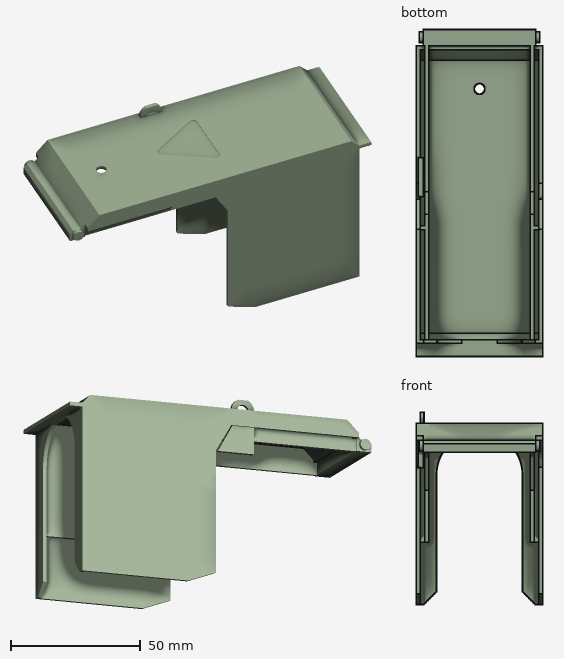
import cadquery as cq
import math

half_width = 24.37
sheet = 1.5
roof_z = 69.9
rear_y = 120.9
wall_front_y = 65.5
wall_slope_z = 52.9
wall_slope_top_y = 59.2
skirt_z = 63.4
foot_chamfer_length = 11.5
foot_chamfer_height = 4.3
rear_bevel = 3.4
front_bevel_y = 11.2
skirt_front_y = 6.3
lip_end_y = 126.0
lip_top_z = roof_z - rear_bevel

bar_inset = 2.6
bar_bottom_z = 58.6
bar_top_z = 63.4
bar_top_rear_y = 4.5
bar_chamfer = 1.4
pin_radius = 2.1
pin_y = 3.0
pin_z = 61.2
pin_inset = 1.1

opening_half_width = 16.5
opening_arch_start_z = 50.0
opening_chamfer = 5.0

rail_inset = 3.3
rail_slope_start_y = 62.5
rail_plate_front_y = 71.2
rail_slope_bottom_z = 44.1
rail_plate_bottom_z = 24.0
web_front_y = 75.6

gusset_inset = 0.8
gusset_thickness = 2.0
gusset_front_y = 49.5
gusset_rear_top_y = 58.5
gusset_rear_bottom_y = 64.4
gusset_bottom_z = 52.8

loop_y = 53.8
loop_radius = 4.7
loop_height = 4.2
loop_hole_radius = 2.3
loop_sill = 0.4
loop_inset = 1.5
hole_y = 22.9
hole_diameter = 4.0
triangle_rear_y = 68.1
triangle_side = 26.6
triangle_corner_radius = 1.5
triangle_depth = 0.3


def side_plate(points, x_start, x_end):
    """Extrude a (Y, Z) outline from x_start to x_end."""
    return cq.Workplane("YZ", origin=(x_start, 0, 0)).polyline(points).close().extrude(x_end - x_start)


def box(x_range, y_range, z_range):
    """Box given by its limits along each axis."""
    lows, highs = zip(x_range, y_range, z_range)
    size = [high - low for low, high in zip(lows, highs)]
    return cq.Workplane("XY", origin=lows).box(*size, centered=False)


def make_cover():
    front_slope = (roof_z - bar_top_z) / (front_bevel_y - bar_top_rear_y)
    skirt_nose_z = bar_top_z + front_slope * (skirt_front_y - bar_top_rear_y)
    outline = [
        (rear_y, 0),
        (wall_front_y + foot_chamfer_length, 0),
        (wall_front_y, foot_chamfer_height),
        (wall_front_y, wall_slope_z),
        (wall_slope_top_y, skirt_z),
        (skirt_front_y, skirt_z),
        (skirt_front_y, skirt_nose_z),
        (front_bevel_y, roof_z),
        (rear_y - rear_bevel, roof_z),
        (rear_y, lip_top_z),
    ]
    bevel_shift = sheet * math.tan(math.pi / 8)
    cavity_front_y = skirt_front_y + sheet
    cavity_roof_z = roof_z - sheet
    cavity_front_z = skirt_nose_z - bevel_shift
    cavity = [
        (rear_y - sheet, 0),
        (rear_y - sheet, lip_top_z - bevel_shift),
        (rear_y - rear_bevel - bevel_shift, cavity_roof_z),
        (cavity_front_y + (cavity_roof_z - cavity_front_z) / front_slope, cavity_roof_z),
        (cavity_front_y, cavity_front_z),
        (cavity_front_y, 0),
    ]
    inner_half_width = half_width - sheet
    cover = side_plate(outline, -half_width, half_width)
    cover = cover.cut(side_plate(cavity, -inner_half_width, inner_half_width))
    lip = box((-half_width, half_width), (rear_y - sheet, lip_end_y), (lip_top_z - sheet, lip_top_z))
    return cover.union(lip)


def make_rear_opening():
    """Arched opening, cut off flat under the rear lip and widening at the feet."""
    flare = opening_half_width + opening_chamfer
    opening = (
        cq.Workplane("XZ", origin=(0, rear_y, 0))
        .moveTo(-opening_half_width, 0)
        .lineTo(-opening_half_width, opening_arch_start_z)
        .threePointArc(
            (0, opening_arch_start_z + opening_half_width),
            (opening_half_width, opening_arch_start_z),
        )
        .lineTo(opening_half_width, 0)
        .close()
        .extrude(2 * sheet)
    )
    opening = opening.intersect(box(
        (-opening_half_width, opening_half_width),
        (rear_y - 2 * sheet, rear_y),
        (0, lip_top_z - sheet),
    ))
    foot = (
        cq.Workplane("XZ", origin=(0, rear_y, 0))
        .polyline([(-flare, 0), (flare, 0), (0, flare)])
        .close()
        .extrude(2 * sheet)
    )
    return opening.union(foot.intersect(
        box((-flare, flare), (rear_y - 2 * sheet, rear_y), (0, opening_chamfer))
    ))


def make_hinge_bar():
    bar_outline = [
        (skirt_front_y, bar_bottom_z),
        (0, bar_bottom_z),
        (0, bar_top_z - bar_chamfer),
        (bar_chamfer, bar_top_z),
        (bar_top_rear_y, bar_top_z),
        (front_bevel_y, roof_z),
        (front_bevel_y, roof_z - sheet),
        (skirt_front_y, skirt_z),
    ]
    bar_half = half_width - bar_inset
    pin_half = half_width - pin_inset
    pin = (
        cq.Workplane("YZ", origin=(-pin_half, 0, 0))
        .center(pin_y, pin_z)
        .circle(pin_radius)
        .extrude(2 * pin_half)
    )
    return side_plate(bar_outline, -bar_half, bar_half).union(pin)


def make_left_rail():
    x_start = -half_width + rail_inset
    inner_rear_y = rear_y - sheet / 2
    inner_roof_z = lip_top_z - sheet / 2
    roof_contact_z = roof_z - sheet / 2
    outline = [
        (skirt_front_y, bar_bottom_z),
        (rail_slope_start_y, bar_bottom_z),
        (rail_plate_front_y, rail_slope_bottom_z),
        (rail_plate_front_y, rail_plate_bottom_z),
        (inner_rear_y, rail_plate_bottom_z),
        (inner_rear_y, inner_roof_z),
        (rear_y - rear_bevel, roof_contact_z),
        (front_bevel_y, roof_contact_z),
        (skirt_front_y, skirt_z),
    ]
    web = box(
        (-half_width + sheet, x_start),
        (web_front_y, web_front_y + sheet),
        (rail_plate_bottom_z, roof_contact_z),
    )
    return side_plate(outline, x_start, x_start + sheet).union(web)


def make_gusset():
    x_start = -half_width + gusset_inset
    outline = [
        (gusset_front_y, gusset_bottom_z),
        (gusset_rear_bottom_y, gusset_bottom_z),
        (gusset_rear_top_y, skirt_z),
        (gusset_rear_top_y, roof_z - sheet),
        (gusset_front_y, roof_z - sheet),
    ]
    return side_plate(outline, x_start, x_start + gusset_thickness)


def make_loop():
    """Half ring with a flat top and a low sill across the foot of its hole."""
    x_start = -half_width + loop_inset
    x_range = (x_start, x_start + sheet)
    ring = (
        cq.Workplane("YZ", origin=(x_start, loop_y, roof_z))
        .circle(loop_radius)
        .circle(loop_hole_radius)
        .extrude(sheet)
    )
    above_roof = box(x_range, (loop_y - loop_radius, loop_y + loop_radius), (roof_z, roof_z + loop_height))
    sill = box(
        x_range, (loop_y - loop_hole_radius, loop_y + loop_hole_radius), (roof_z, roof_z + loop_sill)
    )
    return ring.intersect(above_roof).union(sill)


def make_triangle_recess():
    """Shallow rounded equilateral triangle pointing to the front."""
    height = triangle_side * math.sqrt(3) / 2
    return (
        cq.Workplane("XY", origin=(0, triangle_rear_y, roof_z - triangle_depth))
        .polyline([(-triangle_side / 2, 0), (triangle_side / 2, 0), (0, -height)])
        .close()
        .extrude(triangle_depth)
        .edges("|Z")
        .fillet(triangle_corner_radius)
    )


def make_roof_hole():
    return (
        cq.Workplane("XY", origin=(0, hole_y, roof_z - sheet))
        .circle(hole_diameter / 2)
        .extrude(sheet)
    )


left_rail = make_left_rail()
result = (
    make_cover()
    .cut(make_rear_opening())
    .union(make_hinge_bar())
    .union(left_rail)
    .union(left_rail.mirror("YZ"))
    .union(make_gusset())
    .union(make_loop())
    .cut(make_triangle_recess())
    .cut(make_roof_hole())
)